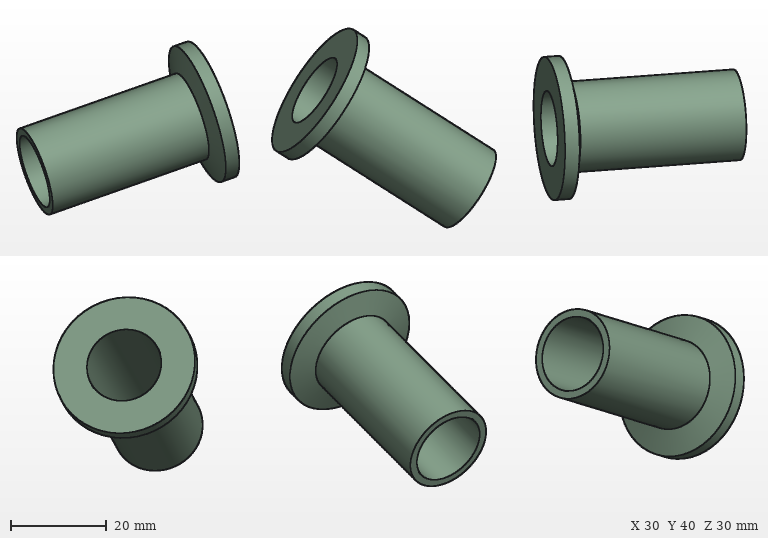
import cadquery as cq
import math

length = 40.0
flange_diameter = 30.0
tube_diameter = 19.05
bore_diameter = 15.75
rim_thickness = 3.1
cone_angle = 15.0

flange_radius = flange_diameter / 2
tube_radius = tube_diameter / 2
bore_radius = bore_diameter / 2
cone_length = (flange_radius - tube_radius) * math.tan(math.radians(cone_angle))

rim_back = length - rim_thickness
cone_start = rim_back - cone_length

wall_section = [
    (bore_radius, 0),
    (tube_radius, 0),
    (tube_radius, cone_start),
    (flange_radius, rim_back),
    (flange_radius, length),
    (bore_radius, length),
]
result = cq.Workplane("XY").polyline(wall_section).close().revolve(360, (0, 0, 0), (0, 1, 0))